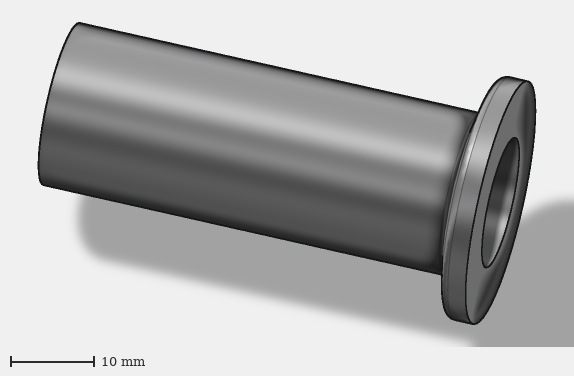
import cadquery as cq
import math

length = 55.0
tube_diameter = 20.0
bore_diameter = 16.0
flange_diameter = 30.0
rim_width = 3.0
cone_angle = 15.0
rim_fillet = 1.0
neck_fillet = 0.55

tube_radius = tube_diameter / 2
flange_radius = flange_diameter / 2
rim_x = length - rim_width
cone_length = (flange_radius - tube_radius) * math.tan(math.radians(cone_angle))
neck_x = rim_x - cone_length

body = (
    cq.Workplane("XY")
    .moveTo(0, 0)
    .lineTo(0, tube_radius)
    .lineTo(neck_x, tube_radius)
    .lineTo(rim_x, flange_radius)
    .lineTo(length, flange_radius)
    .lineTo(length, 0)
    .close()
    .revolve(360, (0, 0, 0), (1, 0, 0))
)


def circle_at(x, radius):
    """Select the circular edge at the given place along the axis."""
    margin = 0.05
    reach = radius + margin
    return cq.selectors.BoxSelector(
        (x - margin, -reach, -reach), (x + margin, reach, reach), boundingbox=True
    )


body = body.edges(circle_at(rim_x, flange_radius)).fillet(rim_fillet)
body = body.edges(circle_at(neck_x, tube_radius)).fillet(neck_fillet)

bore = cq.Workplane("YZ").circle(bore_diameter / 2).extrude(length)
result = body.cut(bore)